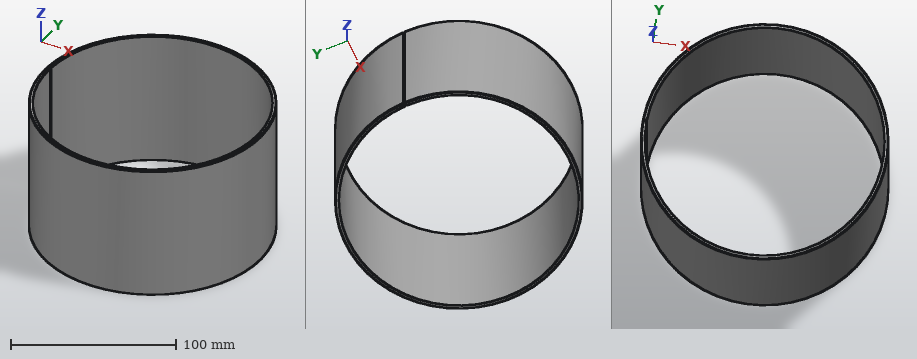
import cadquery as cq

outer_diameter = 150.0
wall_thickness = 2.5
height = 90.0
outer_chamfer = 0.5
inner_chamfer = 0.2
slit_angle = 1.0

outer_radius = outer_diameter / 2
inner_radius = outer_radius - wall_thickness
rim_outer_radius = outer_radius - outer_chamfer
rim_inner_radius = inner_radius + inner_chamfer


def wall_section():
    """Closed section of the wall on the -X side, in the XZ plane, with all four corners chamfered."""
    return (
        cq.Workplane("XZ")
        .moveTo(-rim_inner_radius, 0)
        .lineTo(-rim_outer_radius, 0)
        .lineTo(-outer_radius, outer_chamfer)
        .lineTo(-outer_radius, height - outer_chamfer)
        .lineTo(-rim_outer_radius, height)
        .lineTo(-rim_inner_radius, height)
        .lineTo(-inner_radius, height - inner_chamfer)
        .lineTo(-inner_radius, inner_chamfer)
        .close()
    )


def split_ring():
    """Section swept about Z from the -X side, stopping short of a full turn.

    The gap left over is a full-height slit on the +Y side of the XZ plane.
    """
    axis_start = (0, 0, 0)
    axis_end = (0, 1, 0)
    return wall_section().revolve(360 - slit_angle, axis_start, axis_end)


result = split_ring()